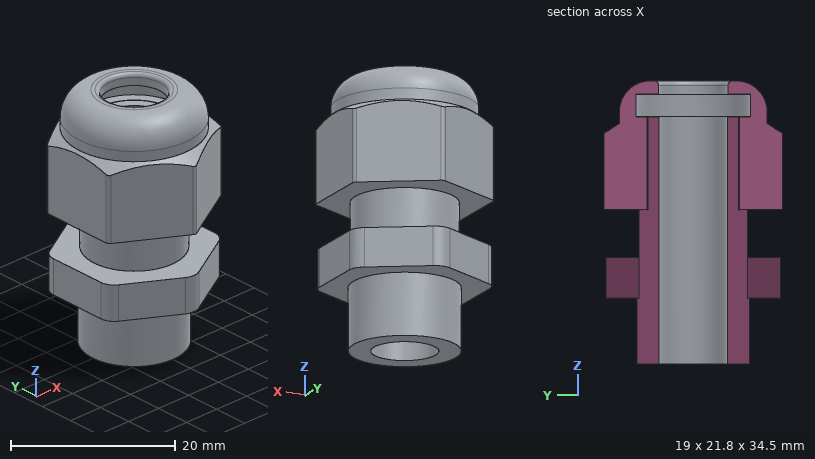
import cadquery as cq
import math

TOTAL_HEIGHT = 34.5
ACROSS_FLATS = 19.0

LOCKNUT_BOTTOM = 8.0
LOCKNUT_HEIGHT = 5.0
LOCKNUT_CORNER_RADIUS = 2.25
LOCKNUT_TOP = LOCKNUT_BOTTOM + LOCKNUT_HEIGHT

THREAD_RADIUS = 6.9
NECK_RADIUS = 6.65
BORE_RADIUS = 4.15
SPIGOT_CLEARANCE = 0.07

CAP_BOTTOM = 18.8
CAP_CORNER_RADIUS = 0.6
SHOULDER_TOP = 29.32
COLLAR_RADIUS = 9.05
DOME_RADIUS = 3.75
CHAMFER_SLOPE = 0.645

ENTRY_RADIUS = 4.2
ENTRY_ROUND = 0.55
LIP_BOTTOM = 32.85
CAVITY_RADIUS = 6.97
CAVITY_FLOOR = 30.12
CAP_BORE_RADIUS = 5.6


def hexagon_prism(bottom, height, corner_radius):
    """Hexagon with two flats facing +X and -X and rounded vertical corners."""
    across_corners = ACROSS_FLATS / math.cos(math.pi / 6)
    return (
        cq.Workplane("XY", origin=(0, 0, bottom))
        .transformed(rotate=(0, 0, 30))
        .polygon(6, across_corners)
        .extrude(height)
        .edges("|Z")
        .fillet(corner_radius)
    )


def cylinder(radius, bottom, top):
    return cq.Workplane("XY", origin=(0, 0, bottom)).circle(radius).extrude(top - bottom)


def cap_envelope():
    """Turned outside of the cap nut: conical chamfer, collar and dome."""
    blank_radius = ACROSS_FLATS / math.sqrt(3)
    chamfer_bottom = SHOULDER_TOP - (blank_radius - COLLAR_RADIUS) * CHAMFER_SLOPE
    turned = (
        cq.Workplane("XZ")
        .moveTo(0, CAP_BOTTOM)
        .lineTo(blank_radius, CAP_BOTTOM)
        .lineTo(blank_radius, chamfer_bottom)
        .lineTo(COLLAR_RADIUS, SHOULDER_TOP)
        .lineTo(COLLAR_RADIUS, TOTAL_HEIGHT)
        .lineTo(0, TOTAL_HEIGHT)
        .close()
        .revolve(360, (0, 0, 0), (0, 1, 0))
    )
    return turned.faces(">Z").edges().fillet(DOME_RADIUS)


def make_cap_nut():
    hexagon = hexagon_prism(CAP_BOTTOM, SHOULDER_TOP - CAP_BOTTOM, CAP_CORNER_RADIUS)
    collar = cylinder(COLLAR_RADIUS, CAP_BOTTOM, TOTAL_HEIGHT)
    cap = hexagon.union(collar).intersect(cap_envelope())

    entry = cylinder(ENTRY_RADIUS, LIP_BOTTOM, TOTAL_HEIGHT)
    cap = cap.cut(entry)
    entry_rim = cap.faces(">Z").edges(cq.selectors.RadiusNthSelector(0))
    cap = entry_rim.fillet(ENTRY_ROUND)

    cavity = cylinder(CAVITY_RADIUS, CAVITY_FLOOR, LIP_BOTTOM)
    bore = cylinder(CAP_BORE_RADIUS, CAP_BOTTOM, CAVITY_FLOOR)
    return cap.cut(cavity).cut(bore)


def make_gland_body():
    threaded_end = cylinder(THREAD_RADIUS, 0, LOCKNUT_BOTTOM)
    neck = cylinder(NECK_RADIUS, LOCKNUT_BOTTOM, CAP_BOTTOM)
    spigot = cylinder(CAP_BORE_RADIUS - SPIGOT_CLEARANCE, CAP_BOTTOM, CAVITY_FLOOR)
    bore = cylinder(BORE_RADIUS, 0, CAVITY_FLOOR)
    return threaded_end.union(neck).union(spigot).cut(bore)


def make_locknut():
    nut = hexagon_prism(LOCKNUT_BOTTOM, LOCKNUT_HEIGHT, LOCKNUT_CORNER_RADIUS)
    return nut.cut(cylinder(NECK_RADIUS, LOCKNUT_BOTTOM, LOCKNUT_TOP))


cap_nut = make_cap_nut()
gland_body = make_gland_body()
locknut = make_locknut()

result = cq.Compound.makeCompound([cap_nut.val(), gland_body.val(), locknut.val()])